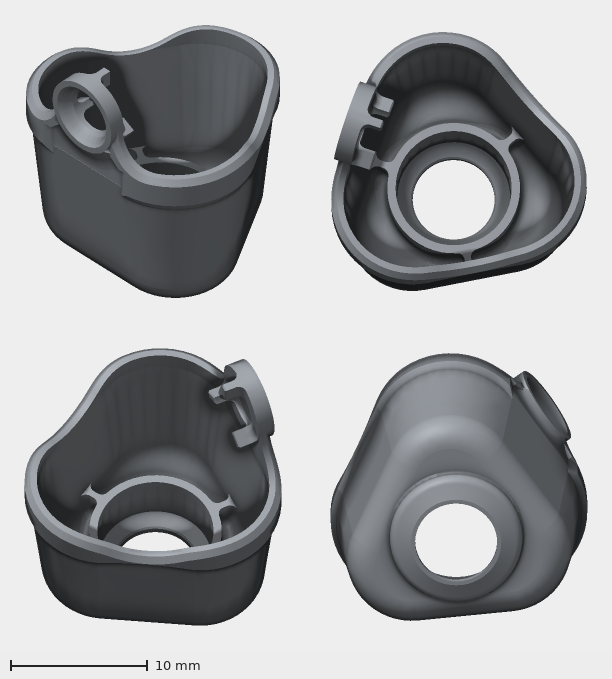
import cadquery as cq
import math

total_height = 20.48

corner_half_spacing = 3.48
corner_distance = corner_half_spacing / math.cos(math.radians(30))
side_offset = corner_distance / 2
side_angles = (30, 150)
lobe_angles = (90, 210, 330)

body_bottom = 1.52
body_top = 11.6
body_top_radius = 5.55
wall_draft = 5.7
bottom_fillet = 2.03
floor_top = 2.21
floor_middle = (body_bottom + floor_top) / 2
cavity_crease = 13.07
cavity_radius = 5.04

rim_width = 18.82
rim_radius = rim_width / 2 - corner_half_spacing
rim_bottom = 12.27
rim_top = 14.48
rim_chamfer = 0.42
dip_bottom = 13.0
dip_half_length = 6.15
dip_inflection = 2.45
arch_peak = 12.53
cut_start = 3.07
cut_end = 10.25

eyelet_radius = 6.0 / 2
eyelet_z = total_height - eyelet_radius
eyelet_front = -8.21
eyelet_back = -6.92
eyelet_hole_radius = 3.5 / 2
countersink_radius = 2.52
countersink_depth = 0.88
panel_face = 7.64
recess_half_width = 4.35
web_radius = 4.65
web_side_slope = 45.0
web_sector = 96.0

tab_end = -5.49
tab_width = 0.61
tab_fillet = 0.61
tab_chamfer = 0.1

socket_radius = 9.7 / 2
socket_bore_radius = 8.5 / 2
outlet_radius = 6.0 / 2
outlet_chamfer = 0.12
socket_top = 4.81
rib_angles = (30, 150, 270)
rib_width = 0.5
rib_fillet = 0.55
nose_radius = 3.3
nose_shoulder_radius = 4.36
nose_arc_radius = 0.72
nose_height = 0.43
collar_bottom = 1.1
neck_fillet = 0.2
seat_bottom = 0.6
seat_top = 1.05
seat_radius = 4.14

block_size = 2 * total_height


def lobed_prism(radius, bottom, height, draft=0.0):
    """Rounded triangle prism; radius is the corner radius at the bottom."""
    outline = (
        cq.Workplane("XY", origin=(0, 0, bottom))
        .polyline([
            (corner_distance * math.cos(math.radians(a)), corner_distance * math.sin(math.radians(a)))
            for a in lobe_angles
        ])
        .close()
        .offset2D(radius)
    )
    return outline.extrude(height, taper=-draft)


def side_plane(angle, distance):
    """Upright plane facing outward; local x runs along the side, local y is Z."""
    direction = math.radians(angle)
    return cq.Plane(
        origin=(distance * math.cos(direction), distance * math.sin(direction), 0),
        xDir=(-math.sin(direction), math.cos(direction), 0),
        normal=(math.cos(direction), math.sin(direction), 0),
    )


def drafted_radius(radius, drop):
    """Corner radius of a drafted wall at a given drop below the given radius."""
    return radius - drop * math.tan(math.radians(wall_draft))


def body():
    """Drafted cup, carried up inside the rim to the top of the flat panels."""
    foot_radius = drafted_radius(body_top_radius, body_top - body_bottom)
    cup_body = lobed_prism(foot_radius, body_bottom, arch_peak - body_bottom, wall_draft)
    return cup_body.faces("<Z").edges().fillet(bottom_fillet)


def cavity():
    """Inside of the cup: drafted below the crease, upright above it."""
    height = cavity_crease - floor_top
    lower = lobed_prism(drafted_radius(cavity_radius, height), floor_top, height, wall_draft)
    lower = lower.faces("<Z").edges().fillet(bottom_fillet)
    upper = lobed_prism(cavity_radius, cavity_crease, total_height - cavity_crease)
    return lower.union(upper)


def ear_profile():
    """Front outline of the ear, flaring from the rim up to the eyelet."""
    flare_radius = eyelet_z - rim_top
    flare_x = eyelet_radius + flare_radius
    bend = flare_radius * math.sqrt(0.5)
    return (
        cq.Workplane("XZ")
        .moveTo(-flare_x, rim_top)
        .threePointArc((-flare_x + bend, eyelet_z - bend), (-eyelet_radius, eyelet_z))
        .lineTo(eyelet_radius, eyelet_z)
        .threePointArc((flare_x - bend, eyelet_z - bend), (flare_x, rim_top))
        .lineTo(flare_x, rim_bottom)
        .lineTo(-flare_x, rim_bottom)
        .close()
    )


def side_dip(angle):
    """Cutter for the smooth S-curved dip in the rim above one side."""
    depth = rim_top - dip_bottom
    inflection_z = dip_bottom + depth * dip_inflection / dip_half_length
    half_turn = math.atan(depth / dip_half_length)
    high_radius = (dip_half_length - dip_inflection) / math.sin(2 * half_turn)
    high_mid_u = dip_half_length - high_radius * math.sin(half_turn)
    high_mid_z = rim_top - high_radius * (1 - math.cos(half_turn))
    return (
        cq.Workplane(side_plane(angle, cut_start))
        .moveTo(-dip_half_length, rim_top)
        .threePointArc((-high_mid_u, high_mid_z), (-dip_inflection, inflection_z))
        .threePointArc((0, dip_bottom), (dip_inflection, inflection_z))
        .threePointArc((high_mid_u, high_mid_z), (dip_half_length, rim_top))
        .close()
        .extrude(cut_end - cut_start)
    )


def side_arch(angle):
    """Cutter below the rim of one side, arched so that its flat panel runs up to the dip."""
    def arch(distance, springing):
        return (
            cq.Workplane(side_plane(angle, distance))
            .moveTo(-corner_half_spacing, springing)
            .threePointArc((0, arch_peak), (corner_half_spacing, springing))
            .close()
            .wires()
            .val()
        )

    inner = arch(side_offset + body_top_radius, body_top)
    outer = arch(side_offset + rim_radius, rim_bottom)
    return cq.Workplane(cq.Solid.makeLoft([inner, outer], True))


def front_recess():
    """Cutter that clears the rim in front of the flat front panel, up to the ends of the web."""
    rim_face = side_offset + rim_radius
    opening = (
        cq.Workplane("XY", origin=(0, 0, body_top))
        .polyline([
            (-corner_half_spacing, -panel_face),
            (-recess_half_width, -rim_face),
            (-recess_half_width, -cut_end),
            (recess_half_width, -cut_end),
            (recess_half_width, -rim_face),
            (corner_half_spacing, -panel_face),
        ])
        .close()
        .extrude(total_height - body_top)
    )
    roof_edge = eyelet_z - corner_half_spacing / math.tan(math.radians(web_sector / 2))
    roof = (
        cq.Workplane("XZ")
        .polyline([
            (-recess_half_width, body_top),
            (-recess_half_width, roof_edge),
            (-corner_half_spacing, roof_edge),
            (0, eyelet_z),
            (corner_half_spacing, roof_edge),
            (recess_half_width, roof_edge),
            (recess_half_width, body_top),
        ])
        .close()
        .extrude(cut_end)
    )
    front_half = cq.Workplane("XZ", origin=(0, -side_offset, 0)).rect(block_size, block_size).extrude(cut_end)
    beside_panel = (
        cq.Workplane("XY", origin=(0, 0, body_top))
        .rect(2 * corner_half_spacing, 2 * cut_end)
        .extrude(arch_peak - body_top)
        .intersect(front_half)
    )
    return opening.intersect(roof).union(beside_panel)


def rim():
    """Solid rim with a flared underside, the raised ear, a chamfered edge and the side cuts."""
    rise = rim_bottom - body_top
    flare = math.degrees(math.atan((rim_radius - body_top_radius) / rise))
    ear = lobed_prism(rim_radius, rim_bottom, total_height - rim_bottom)
    ear = ear.intersect(ear_profile().extrude(cut_end))
    band = lobed_prism(rim_radius, rim_bottom, rim_top - rim_bottom).union(ear)
    for angle in side_angles:
        band = band.cut(side_dip(angle))
    band = chamfer_crest(band)
    band = band.union(lobed_prism(body_top_radius, body_top, rise, flare))
    for angle in side_angles:
        band = band.cut(side_arch(angle))
    return band.cut(front_recess())


def chamfer_crest(band):
    """Chamfer the outer upper edge of the rim, which follows the dips and the ear."""
    inside = lobed_prism(rim_radius - rim_chamfer / 2, 0, total_height).val()

    def is_crest(edge):
        middle = edge.positionAt(0.5)
        upright = abs(edge.tangentAt(0.5).z) > 0.99
        top_of_ear = middle.z > eyelet_z - 0.02
        return middle.z > rim_bottom + 0.2 and not (upright or top_of_ear or inside.isInside(middle))

    crest = [edge for edge in band.edges().vals() if is_crest(edge)]
    return band.newObject(crest).chamfer(rim_chamfer)


def web():
    """Concave fillet below the eyelet, tangent to the recessed front face."""
    rise = -panel_face - eyelet_front
    reach = web_radius - eyelet_radius
    arc_radius = (reach**2 + rise**2) / (2 * rise)
    half_turn = math.asin(reach / arc_radius) / 2
    middle = (
        web_radius - arc_radius * math.sin(half_turn),
        -panel_face - arc_radius * (1 - math.cos(half_turn)),
    )
    fillet = (
        cq.Workplane("XY", origin=(0, 0, eyelet_z))
        .moveTo(0, eyelet_front)
        .lineTo(eyelet_radius, eyelet_front)
        .threePointArc(middle, (web_radius, -panel_face))
        .lineTo(web_radius, eyelet_back)
        .lineTo(0, eyelet_back)
        .close()
        .revolve(360, (0, 0, 0), (0, 1, 0))
    )
    half_width = web_radius * math.tan(math.radians(web_sector / 2))
    wedge = (
        cq.Workplane("XZ", origin=(0, eyelet_front, eyelet_z))
        .polyline([(0, 0), (half_width, -web_radius), (-half_width, -web_radius)])
        .close()
        .extrude(eyelet_front - eyelet_back, taper=-web_side_slope)
    )
    return fillet.intersect(wedge).intersect(ear_profile().extrude(cut_end))


def eyelet():
    """Round eyelet with three tabs behind it."""
    ring = (
        cq.Workplane("XZ", origin=(0, eyelet_back, eyelet_z))
        .circle(eyelet_radius)
        .extrude(eyelet_back - eyelet_front)
    )
    for angle in lobe_angles:
        ring = ring.union(eyelet_tab(angle))
    return ring


def eyelet_tab(angle):
    """Tab behind the eyelet, as deep as its wall, with fillets spreading at its root."""
    half = tab_width / 2
    bend = tab_fillet * (1 - math.sqrt(0.5))
    tab = (
        cq.Workplane("XY")
        .moveTo(-half - tab_fillet, eyelet_back)
        .threePointArc((-half - bend, eyelet_back + bend), (-half, eyelet_back + tab_fillet))
        .lineTo(-half, tab_end)
        .lineTo(half, tab_end)
        .lineTo(half, eyelet_back + tab_fillet)
        .threePointArc((half + bend, eyelet_back + bend), (half + tab_fillet, eyelet_back))
        .close()
        .extrude(eyelet_radius)
        .rotate((0, 0, 0), (0, 1, 0), 90 - angle)
        .translate((0, 0, eyelet_z))
    )
    tube = (
        cq.Workplane("XZ", origin=(0, tab_end, eyelet_z))
        .circle(eyelet_radius)
        .circle(eyelet_hole_radius)
        .extrude(tab_end - eyelet_back)
    )
    return tab.intersect(tube).faces(">Y").edges().chamfer(tab_chamfer)


def eyelet_hole():
    """Through hole with a conical countersink at the front."""
    seat = eyelet_front + countersink_depth
    return (
        cq.Workplane("XY", origin=(0, 0, eyelet_z))
        .polyline([
            (0, eyelet_front),
            (countersink_radius, eyelet_front),
            (eyelet_hole_radius, seat),
            (eyelet_hole_radius, 0),
            (0, 0),
        ])
        .close()
        .revolve(360, (0, 0, 0), (0, 1, 0))
    )


def socket_boss():
    """Round boss below the floor, with a conical nose and a small fillet under the cup."""
    neck_radius = socket_radius + neck_fillet
    return (
        cq.Workplane("XZ")
        .polyline([(0, 0), (nose_radius, 0), (nose_shoulder_radius, nose_height)])
        .radiusArc((socket_radius, collar_bottom), -nose_arc_radius)
        .lineTo(socket_radius, body_bottom - neck_fillet)
        .radiusArc((neck_radius, body_bottom), neck_fillet)
        .lineTo(neck_radius, floor_middle)
        .lineTo(0, floor_middle)
        .close()
        .revolve(360, (0, 0, 0), (0, 1, 0))
    )


def socket_bore():
    """Bore with a conical seat that narrows to the outlet."""
    return (
        cq.Workplane("XZ")
        .polyline([
            (0, 0),
            (outlet_radius, 0),
            (outlet_radius, seat_bottom - outlet_chamfer),
            (outlet_radius + outlet_chamfer, seat_bottom),
            (seat_radius, seat_top),
            (socket_bore_radius, socket_top),
            (0, socket_top),
        ])
        .close()
        .revolve(360, (0, 0, 0), (0, 1, 0))
    )


def socket_and_ribs():
    """Socket wall, filled, with three ribs reaching through the flat sides."""
    length = side_offset + rim_radius
    base = cq.Workplane("XY")
    block = base.circle(socket_radius).extrude(socket_top)
    for angle in rib_angles:
        rib = base.center(length / 2, 0).rect(length, rib_width).extrude(socket_top)
        block = block.union(rib.rotate((0, 0, 0), (0, 0, 1), angle))
    return block


def cup_space():
    """Empty space inside the cup: three rounded pockets around the socket, open above it."""
    whole = cavity()
    block = socket_and_ribs()
    lower = whole.intersect(cq.Workplane("XY").rect(block_size, block_size).extrude(socket_top))
    pockets = lower.cut(block)

    def meets_block(edge):
        middle = edge.positionAt(0.5)
        touching = block.val().distance(cq.Vertex.makeVertex(*middle.toTuple())) < 0.002
        return touching and middle.z < socket_top - 0.02

    corners = [edge for edge in pockets.edges().vals() if meets_block(edge)]
    pockets = pockets.newObject(corners).fillet(rib_fillet)
    return whole.cut(lower).union(pockets)


cup = body().union(rim()).union(web()).union(socket_boss())
cup = cup.cut(cup_space())
result = cup.union(eyelet()).cut(eyelet_hole()).cut(socket_bore())